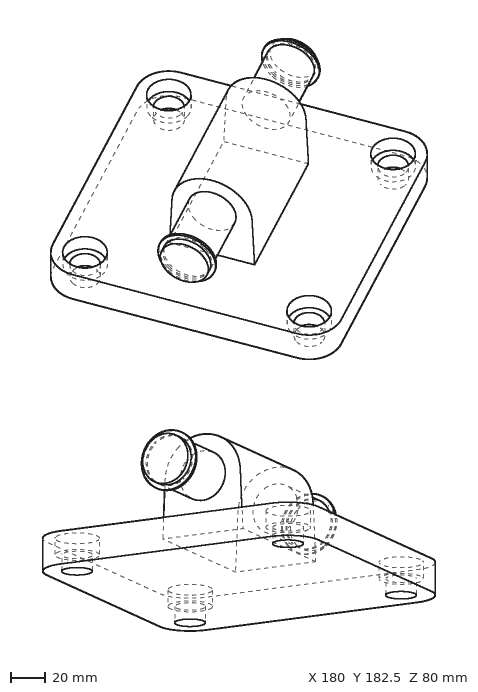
import cadquery as cq
import math

plate_side = 180.0
plate_thickness = 20.0
plate_corner_radius = 20.0

hole_spacing = 140.0
hole_diameter = 18.0
counterbore_diameter = 26.0
counterbore_depth = 10.0

bracket_length = 90.0
bracket_top_radius = 25.0
bracket_taper_angle = 2.5
pin_axis_height = 55.0

pin_diameter = 30.0
pin_length = 182.5
ring_diameter = 36.0
ring_width = 1.5
ring_end_distance = 4.0


def make_plate():
    """Square plate with rounded corners and a counterbored hole near each corner."""
    return (
        cq.Workplane("XY")
        .rect(plate_side, plate_side)
        .extrude(plate_thickness)
        .edges("|Z")
        .fillet(plate_corner_radius)
        .faces(">Z")
        .workplane()
        .rect(hole_spacing, hole_spacing, forConstruction=True)
        .vertices()
        .cboreHole(hole_diameter, counterbore_diameter, counterbore_depth)
    )


def cylinder_along_y(diameter, length, center_y):
    """Cylinder on the pin axis, centred lengthwise at center_y."""
    return (
        cq.Workplane("XZ", origin=(0, center_y, pin_axis_height))
        .circle(diameter / 2)
        .extrude(length / 2, both=True)
    )


def make_bracket():
    """Block whose tapered sides run tangent into a round top about the pin axis."""
    taper = math.radians(bracket_taper_angle)
    tangent_x = bracket_top_radius * math.cos(taper)
    tangent_z = pin_axis_height + bracket_top_radius * math.sin(taper)
    half_base = tangent_x + (tangent_z - plate_thickness) * math.tan(taper)
    top_z = pin_axis_height + bracket_top_radius
    return (
        cq.Workplane("XZ")
        .moveTo(-half_base, plate_thickness)
        .lineTo(half_base, plate_thickness)
        .lineTo(tangent_x, tangent_z)
        .threePointArc((0, top_z), (-tangent_x, tangent_z))
        .close()
        .extrude(bracket_length / 2, both=True)
    )


def make_pin():
    """Pin through the bracket with a retaining ring near each end."""
    pin = cylinder_along_y(pin_diameter, pin_length, 0)
    ring_y = pin_length / 2 - ring_end_distance - ring_width / 2
    for side in (-1, 1):
        pin = pin.union(cylinder_along_y(ring_diameter, ring_width, side * ring_y))
    return pin


result = make_plate().union(make_bracket()).union(make_pin())